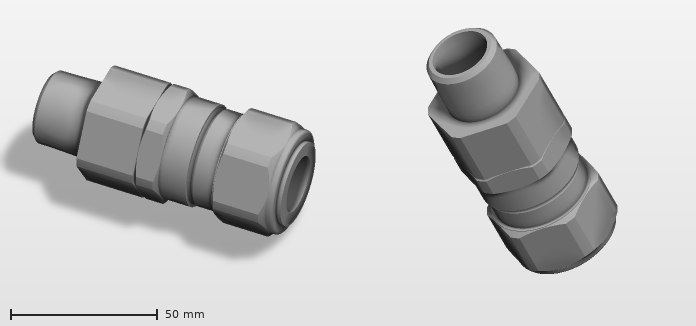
import cadquery as cq
import math

length = 93.85
thread_chamfer_end = 1.5
thread_end = 15.3
entry_hex_start = 20.4
entry_hex_end = 41.3
middle_hex_end = 49.9
barrel_end = 60.0
groove_bottom = 60.8
groove_end = 62.2
nut_start = 69.7
nut_hex_start = 70.0
nut_hex_end = 89.9
rim_end = 92.2

thread_tip_radius = 11.5
thread_start_radius = 13.0
shank_radius = 13.4
barrel_radius = 18.3
groove_shoulder_radius = 17.1
groove_radius = 16.05
sleeve_radius = 17.4
rim_radius = 18.7
rim_fillet_radius = 1.0
outlet_radius = 15.0
bore_radius = 10.1

across_flats = 37.5
across_corners = across_flats / math.cos(math.radians(30))
corner_radius = 20.65
face_radius = 18.6
shallow_chamfer_angle = 30.0
steep_chamfer_angle = 45.0


def revolve_profile(points):
    """Solid of revolution about X under (x, radius) points, closed along the axis."""
    first_x = points[0][0]
    last_x = points[-1][0]
    outline = [(first_x, 0)] + points + [(last_x, 0)]
    return cq.Workplane("XZ").polyline(outline).close().revolve(360, (0, 0, 0), (1, 0, 0))


def chamfer_length(angle):
    """Axial length of a corner chamfer, sloping at the given angle to the end face."""
    return (corner_radius - face_radius) * math.tan(math.radians(angle))


def rounded_hex(start, end, start_angle=0, end_angle=0):
    """Hexagon along X with horizontal flats, turned down to the corner radius.

    An end with a chamfer angle is coned down to the face radius; angle 0 leaves it square.
    """
    prism = (
        cq.Workplane("YZ", origin=(start, 0, 0))
        .polygon(6, across_corners)
        .extrude(end - start)
    )
    envelope = []
    if start_angle:
        envelope.append((start, face_radius))
    envelope.append((start + chamfer_length(start_angle), corner_radius))
    envelope.append((end - chamfer_length(end_angle), corner_radius))
    if end_angle:
        envelope.append((end, face_radius))
    return prism.intersect(revolve_profile(envelope))


core = revolve_profile([
    (0, thread_tip_radius),
    (thread_chamfer_end, thread_start_radius),
    (thread_end, shank_radius),
    (entry_hex_end, shank_radius),
    (entry_hex_end, barrel_radius),
    (barrel_end, barrel_radius),
    (barrel_end, groove_shoulder_radius),
    (groove_bottom, groove_radius),
    (groove_end, sleeve_radius),
    (nut_hex_end, sleeve_radius),
    (nut_hex_end, outlet_radius),
    (length, outlet_radius),
])

entry_hex = rounded_hex(entry_hex_start, entry_hex_end)
middle_hex = rounded_hex(
    entry_hex_end, middle_hex_end, shallow_chamfer_angle, shallow_chamfer_angle
)

washer_face = revolve_profile([(nut_start, face_radius), (nut_hex_start, face_radius)])
nut_hex = rounded_hex(nut_hex_start, nut_hex_end, shallow_chamfer_angle, steep_chamfer_angle)
rim = (
    revolve_profile([(nut_hex_end, rim_radius), (rim_end, rim_radius)])
    .faces(">X")
    .edges()
    .fillet(rim_fillet_radius)
)

bore = revolve_profile([(0, bore_radius), (length, bore_radius)])

result = core
for section in (entry_hex, middle_hex, washer_face, nut_hex, rim):
    result = result.union(section)
result = result.cut(bore)